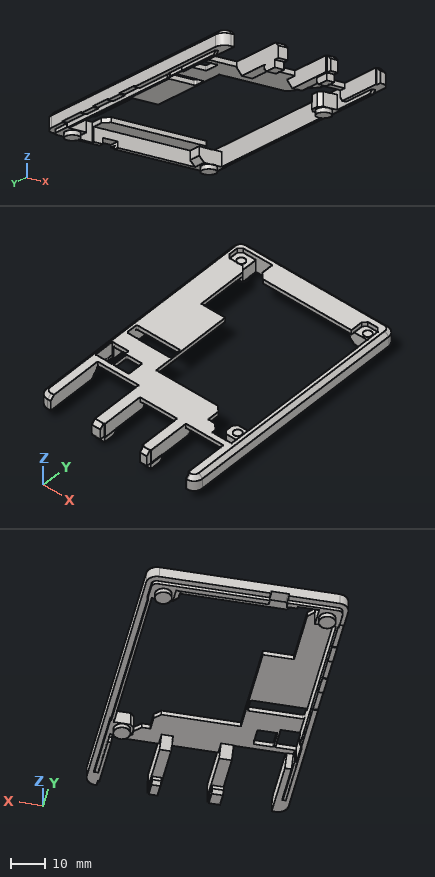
import cadquery as cq

WIDTH = 60.6
LENGTH = 89.6
HEIGHT = 8.0

PLATE_BOTTOM = HEIGHT - 1.7
NOTCH_TOP = HEIGHT - 4.5
RIM_BOTTOM = HEIGHT - 5.3
LIP_BOTTOM = HEIGHT - 6.45
FOOT_BOTTOM = HEIGHT - 7.7

CORNER_RADIUS = 3.2
TOP_CHAMFER = 1.4
LEFT_WALL = 2.5
RIGHT_WALL = 2.8
BACK_WALL = 2.9
INNER_RIGHT_X = WIDTH - RIGHT_WALL
INNER_BACK_Y = LENGTH - BACK_WALL

LIP_INSET_SIDE = 1.6
LIP_INSET_END = 1.9
LIP_CORNER_RADIUS = CORNER_RADIUS - LIP_INSET_SIDE
LIP_FRONT_Y = 5.4
LIP_SLOPE = 1.1
RECESS_DEPTH = 0.3
RECESS_FRONT_Y = 28.8
RECESS_BACK_Y = 80.7

RELIEFS = ((44.3, 51.8), (57.7, 65.1), (71.1, RECESS_BACK_Y))
RELIEF_HEIGHT = 0.4

LEFT_LEG = (0, 4.5, 0, 4.5)
SECOND_LEG = (20.3, 24.2, 20.3, 23.7)
THIRD_LEG = (38.5, 42.0, 39.1, 41.75)
RIGHT_LEG = (56.45, WIDTH, 56.9, WIDTH)
PLATE_FRONT_Y = 17.2
LEFT_GAP_BACK_Y = 21.0
TIP_LENGTH = 1.7
HEEL_START_Y = PLATE_FRONT_Y + 1.3
HEEL_LENGTH = 2.7
FOOT_LENGTH = 5.2
FOOT_CHAMFER = 1.1

PAD_WIDTH = 6.3
PAD_CORNER = 1.25
LEFT_PAD_END_X = LEFT_WALL + PAD_WIDTH
RIGHT_PAD_START_X = INNER_RIGHT_X - PAD_WIDTH
LEFT_PAD_FRONT_Y = 80.8
RIGHT_PAD_FRONT_Y = 81.45
RIGHT_POCKET_BACK_Y = 86.1
FRONT_PAD_Y = (22.9, 28.2)
PEG_DIAMETER = 5.0
PEG_INSET_X = 5.7
BACK_PEG_Y = LENGTH - 5.9
FRONT_PEG_Y = sum(FRONT_PAD_Y) / 2
DIMPLE_DIAMETER = 3.0
DIMPLE_DEPTH = 0.1
PAD_RIB_LENGTH = 1.8

THICK_WALL_START_X = 15.1
THICK_WALL_STEP = 0.7
NOTCH_START_X = 18.4
NOTCH_END_X = SECOND_LEG[3]
NOTCH_CORNER = 0.4

SLOT_X = (LEFT_WALL, 19.4)
SLOT_Y = (36.3, 40.7)
SLOT_CORNER = 0.5
WINDOW_FRONT_Y = 22.9
LARGE_WINDOW_X = (2.0, 8.2)
LARGE_WINDOW_BACK_Y = 30.4
SMALL_WINDOW_X = (8.9, 14.9)
SMALL_WINDOW_BACK_Y = 28.85
SMALL_WINDOW_CORNER = 0.4


def box(x0, x1, y0, y1, z0, z1):
    """Box between two opposite corners."""
    solid = cq.Workplane("XY").box(x1 - x0, y1 - y0, z1 - z0, centered=False)
    return solid.translate((x0, y0, z0))


def side_profile(points, x0, x1):
    """Outline in Y and Z, extruded along X from x0 to x1."""
    solid = cq.Workplane("YZ").polyline(points).close().extrude(x1 - x0)
    return solid.translate((x0, 0, 0))


def envelope():
    """Rounded, top-chamfered block that bounds the rim, the plate and the legs."""
    block = box(0, WIDTH, 0, LENGTH, RIM_BOTTOM, HEIGHT).edges("|Z").fillet(CORNER_RADIUS)
    return block.faces(">Z").edges().chamfer(TOP_CHAMFER)


def walls():
    """Outer walls on the left, right and back."""
    left = box(0, LEFT_WALL, TIP_LENGTH, LENGTH, RIM_BOTTOM, HEIGHT)
    right = box(INNER_RIGHT_X, WIDTH, TIP_LENGTH, LENGTH, RIM_BOTTOM, HEIGHT)
    back = box(0, WIDTH, INNER_BACK_Y, LENGTH, RIM_BOTTOM, HEIGHT)
    return left.union(right).union(back)


def plate():
    """Top plate, cut back further between the two left legs."""
    full = box(0, WIDTH, PLATE_FRONT_Y, LENGTH, PLATE_BOTTOM, HEIGHT)
    return full.cut(box(LEFT_LEG[1], SECOND_LEG[0], 0, LEFT_GAP_BACK_Y, PLATE_BOTTOM, HEIGHT))


def central_opening():
    """Stepped opening that leaves an L-shaped plate and a strip at the back."""
    outline = [
        (LEFT_PAD_END_X, INNER_BACK_Y),
        (THICK_WALL_START_X, INNER_BACK_Y),
        (THICK_WALL_START_X, 82.25),
        (17.2, 80.2),
        (RIGHT_PAD_START_X, 80.2),
        (RIGHT_PAD_START_X, RIGHT_PAD_FRONT_Y),
        (INNER_RIGHT_X, RIGHT_PAD_FRONT_Y),
        (INNER_RIGHT_X, 19.4),
        (50.4, 19.4),
        (50.4, 20.9),
        (48.3, 22.9),
        (45.7, 22.9),
        (45.7, 27.5),
        (43.8, 29.4),
        (20.0, 29.4),
        (20.0, 60.2),
        (10.7, 60.2),
        (10.7, 78.8),
        (LEFT_PAD_END_X, LEFT_PAD_FRONT_Y),
    ]
    return cq.Workplane("XY").polyline(outline).close().extrude(HEIGHT)


def windows():
    """Long slot and two windows, cut through the full height."""
    slot = box(*SLOT_X, *SLOT_Y, 0, HEIGHT).edges("|Z").fillet(SLOT_CORNER)
    large = box(*LARGE_WINDOW_X, WINDOW_FRONT_Y, LARGE_WINDOW_BACK_Y, 0, HEIGHT)
    small = box(*SMALL_WINDOW_X, WINDOW_FRONT_Y, SMALL_WINDOW_BACK_Y, 0, HEIGHT)
    return slot.union(large).union(small.edges("|Z").fillet(SMALL_WINDOW_CORNER))


def leg(left, right, tip_left, tip_right):
    """Front leg with a sloped heel under the plate and a tip at its end."""
    heel_end_y = HEEL_START_Y + HEEL_LENGTH
    profile = [
        (TIP_LENGTH, HEIGHT),
        (heel_end_y, HEIGHT),
        (heel_end_y, PLATE_BOTTOM),
        (HEEL_START_Y, RIM_BOTTOM),
        (TIP_LENGTH, RIM_BOTTOM),
    ]
    tip = box(tip_left, tip_right, 0, TIP_LENGTH, RIM_BOTTOM, HEIGHT)
    return side_profile(profile, left, right).union(tip)


def foot(left, right):
    """Foot below a leg tip, with its rear lower edge sloped."""
    rear_y = LIP_INSET_END + FOOT_LENGTH
    profile = [
        (LIP_INSET_END, RIM_BOTTOM),
        (LIP_INSET_END, FOOT_BOTTOM),
        (rear_y - FOOT_CHAMFER, FOOT_BOTTOM),
        (rear_y, FOOT_BOTTOM + FOOT_CHAMFER),
        (rear_y, RIM_BOTTOM),
    ]
    return side_profile(profile, left, right)


def lip():
    """Set-back lip below the three walls, sloped at its front ends."""
    ring = box(
        LIP_INSET_SIDE, WIDTH - LIP_INSET_SIDE,
        LIP_FRONT_Y, LENGTH - LIP_INSET_END,
        LIP_BOTTOM, RIM_BOTTOM,
    )
    ring = ring.edges("|Z and >Y").fillet(LIP_CORNER_RADIUS)
    ring = ring.edges("<Y and <Z").chamfer(LIP_SLOPE)
    ring = ring.cut(box(LEFT_WALL, INNER_RIGHT_X, 0, INNER_BACK_Y, LIP_BOTTOM, RIM_BOTTOM))
    for side_x in (LIP_INSET_SIDE, WIDTH - LIP_INSET_SIDE):
        recess = box(
            side_x - RECESS_DEPTH, side_x + RECESS_DEPTH,
            RECESS_FRONT_Y, RECESS_BACK_Y,
            LIP_BOTTOM, RIM_BOTTOM,
        )
        ring = ring.cut(recess)
    return ring


def thick_back_wall():
    """Inner thickening of the back wall below the plate."""
    return box(
        THICK_WALL_START_X, RIGHT_PAD_START_X,
        INNER_BACK_Y - THICK_WALL_STEP, INNER_BACK_Y,
        LIP_BOTTOM, PLATE_BOTTOM,
    )


def back_notch():
    """Notch through the lower edge of the back wall."""
    notch = box(NOTCH_START_X, NOTCH_END_X, INNER_BACK_Y - THICK_WALL_STEP, LENGTH, 0, NOTCH_TOP)
    return notch.edges("|Y and <X and >Z").fillet(NOTCH_CORNER)


def back_pockets():
    """Openings in the plate above the two back pads."""
    left = box(LEFT_WALL, LEFT_PAD_END_X, LEFT_PAD_FRONT_Y, INNER_BACK_Y, PLATE_BOTTOM, HEIGHT)
    right = box(
        RIGHT_PAD_START_X, INNER_RIGHT_X,
        RIGHT_PAD_FRONT_Y, RIGHT_POCKET_BACK_Y,
        PLATE_BOTTOM, HEIGHT,
    )
    left = left.edges("|Z and <X").chamfer(PAD_CORNER)
    return left.union(right.edges("|Z and >Y").chamfer(PAD_CORNER))


def pads():
    """Three screw pads; the right back one carries a rib with a sloped lower corner."""
    left = box(LEFT_WALL, LEFT_PAD_END_X, LEFT_PAD_FRONT_Y, INNER_BACK_Y, LIP_BOTTOM, PLATE_BOTTOM)
    right = box(
        RIGHT_PAD_START_X - PAD_RIB_LENGTH, INNER_RIGHT_X,
        RIGHT_PAD_FRONT_Y, INNER_BACK_Y,
        LIP_BOTTOM, PLATE_BOTTOM,
    )
    front = box(RIGHT_PAD_START_X, INNER_RIGHT_X, *FRONT_PAD_Y, LIP_BOTTOM, PLATE_BOTTOM)
    right = right.edges("|Y and <X and <Z").chamfer(PAD_RIB_LENGTH)
    front = front.edges("|Z and <X").chamfer(PAD_CORNER)
    return left.union(right).union(front)


def discs(diameter, bottom, top):
    """Discs between two levels on the axes of the three pads."""
    right_x = WIDTH - PEG_INSET_X
    centers = [(PEG_INSET_X, BACK_PEG_Y), (right_x, BACK_PEG_Y), (right_x, FRONT_PEG_Y)]
    sketch = cq.Workplane("XY").workplane(offset=bottom).pushPoints(centers)
    return sketch.circle(diameter / 2).extrude(top - bottom)


frame = walls().union(plate())
for leg_sides in (LEFT_LEG, SECOND_LEG, THIRD_LEG, RIGHT_LEG):
    frame = frame.union(leg(*leg_sides))
frame = frame.cut(central_opening()).cut(back_pockets()).intersect(envelope())

frame = frame.union(lip()).union(thick_back_wall()).cut(back_notch())
for leg_sides in (SECOND_LEG, THIRD_LEG):
    frame = frame.union(foot(*leg_sides[2:]))
for start_y, end_y in RELIEFS:
    frame = frame.cut(
        box(0, LIP_INSET_SIDE + RECESS_DEPTH, start_y, end_y, RIM_BOTTOM, RIM_BOTTOM + RELIEF_HEIGHT)
    )

frame = frame.union(pads()).union(discs(PEG_DIAMETER, 0, LIP_BOTTOM))
frame = frame.cut(discs(DIMPLE_DIAMETER, PLATE_BOTTOM - DIMPLE_DEPTH, PLATE_BOTTOM))
result = frame.cut(windows())